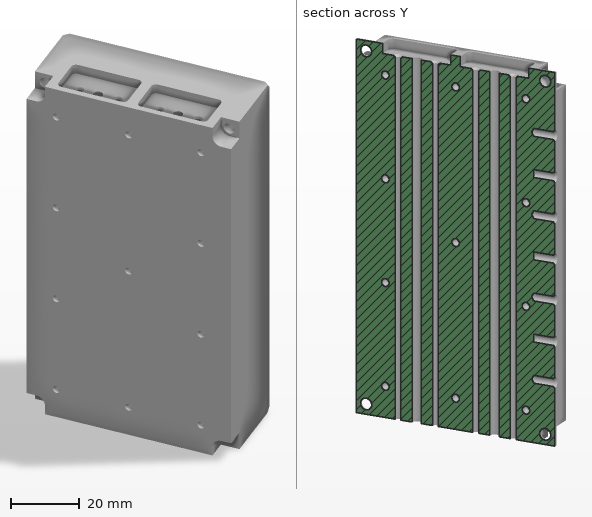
import cadquery as cq
import math

WIDTH = 64.8
THICKNESS = 28.0
HEIGHT = 115.1
CORNER_CUT = 1.5

RECESS_SIDE = 5.9
RECESS_DEPTH = 6.1
RECESS_RADIUS = 2.9
CORNER_HOLE_DIAMETER = 3.5
CORNER_HOLE_INSET = 3.2

FACE_HOLE_DIAMETER = 2.3
FACE_HOLE_X = 22.9
FACE_HOLE_OUTER_Z = 47.9
FACE_HOLE_INNER_Z = FACE_HOLE_OUTER_Z / 3

PORT_INSET = 6.8
SIDE_HOLE_INSET = 7.0
PORT_PITCH = 12.7

POCKET_WIDTH = 22.1
POCKET_THICKNESS = 12.3
POCKET_INSET = 1.8
POCKET_DEPTH = 3.1
POCKET_RADIUS = 1.5
PIN_HOLE_DIAMETER = 2.9
SCREW_HOLE_DIAMETER = 1.7
SCREW_HOLE_MOUTH = 3.0
SCREW_HOLE_OFFSET = 6.1

SIDE_HOLE_COUNT = 7
SIDE_HOLE_DIAMETER = 2.3
SIDE_HOLE_MOUTH = 3.5
SIDE_HOLE_DEPTH = 6.9
DRILL_TIP_ANGLE = 118

FRONT = -THICKNESS / 2
PORT_Y = FRONT + PORT_INSET
SIDE_HOLE_Y = FRONT + SIDE_HOLE_INSET


def drill(mouth, direction, diameter, depth):
    """Flat-ended cutter that starts at the mouth."""
    cylinder = cq.Solid.makeCylinder(diameter / 2, depth, cq.Vector(*mouth), cq.Vector(*direction))
    return cq.Workplane(cylinder)


def countersink(mouth, direction, mouth_diameter, hole_diameter):
    """45 degree cone that narrows from the mouth to the hole."""
    depth = (mouth_diameter - hole_diameter) / 2
    cone = cq.Solid.makeCone(
        mouth_diameter / 2, hole_diameter / 2, depth, cq.Vector(*mouth), cq.Vector(*direction)
    )
    return cq.Workplane(cone)


def drill_tip(base, direction, diameter):
    """Conical end of a drilled hole."""
    length = diameter / 2 / math.tan(math.radians(DRILL_TIP_ANGLE / 2))
    cone = cq.Solid.makeCone(diameter / 2, 0, length, cq.Vector(*base), cq.Vector(*direction))
    return cq.Workplane(cone)


def corner_wedge(x_side, z_side):
    """Tetrahedron at one corner of the +Y face, with equal legs along the three edges."""
    corner = cq.Vector(x_side * WIDTH / 2, THICKNESS / 2, z_side * HEIGHT / 2)
    along_x = corner - cq.Vector(x_side * CORNER_CUT, 0, 0)
    along_y = corner - cq.Vector(0, CORNER_CUT, 0)
    along_z = corner - cq.Vector(0, 0, z_side * CORNER_CUT)
    triangles = [
        (along_x, along_y, along_z),
        (corner, along_x, along_y),
        (corner, along_y, along_z),
        (corner, along_z, along_x),
    ]
    faces = [cq.Face.makeFromWires(cq.Wire.makePolygon(points, close=True)) for points in triangles]
    return cq.Workplane(cq.Solid.makeSolid(cq.Shell.makeShell(faces)))


def bevelled_block():
    body = cq.Workplane("XY").box(WIDTH, THICKNESS, HEIGHT)
    for x_side in (-1, 1):
        for z_side in (-1, 1):
            body = body.cut(corner_wedge(x_side, z_side))
    return body


def cut_corner_recesses(body):
    for x_side in (-1, 1):
        for z_side in (-1, 1):
            recess = (
                cq.Workplane("XY")
                .box(2 * RECESS_SIDE, 2 * RECESS_DEPTH, 2 * RECESS_SIDE)
                .edges("|Y")
                .fillet(RECESS_RADIUS)
                .translate((x_side * WIDTH / 2, FRONT, z_side * HEIGHT / 2))
            )
            x = x_side * (WIDTH / 2 - CORNER_HOLE_INSET)
            z = z_side * (HEIGHT / 2 - CORNER_HOLE_INSET)
            body = body.cut(recess).cut(drill((x, FRONT, z), (0, 1, 0), CORNER_HOLE_DIAMETER, THICKNESS))
    return body


def cut_face_holes(body):
    positions = [(0, 0), (0, FACE_HOLE_OUTER_Z), (0, -FACE_HOLE_OUTER_Z)]
    for x in (-FACE_HOLE_X, FACE_HOLE_X):
        for z in (FACE_HOLE_INNER_Z, FACE_HOLE_OUTER_Z):
            positions += [(x, z), (x, -z)]
    for x, z in positions:
        body = body.cut(drill((x, FRONT, z), (0, 1, 0), FACE_HOLE_DIAMETER, THICKNESS))
    return body


def cut_connector_pockets(body):
    floor = HEIGHT / 2 - POCKET_DEPTH
    down = (0, 0, -1)
    for x in (-PORT_PITCH, PORT_PITCH):
        pocket = (
            cq.Workplane("XY")
            .box(POCKET_WIDTH, POCKET_THICKNESS, POCKET_DEPTH, centered=(True, False, False))
            .edges("|Z")
            .fillet(POCKET_RADIUS)
            .translate((x, FRONT + POCKET_INSET, floor))
        )
        body = body.cut(pocket).cut(drill((x, PORT_Y, floor), down, PIN_HOLE_DIAMETER, HEIGHT))
        for screw_x in (x - SCREW_HOLE_OFFSET, x + SCREW_HOLE_OFFSET):
            mouth = (screw_x, PORT_Y, floor)
            body = body.cut(drill(mouth, down, SCREW_HOLE_DIAMETER, HEIGHT))
            body = body.cut(countersink(mouth, down, SCREW_HOLE_MOUTH, SCREW_HOLE_DIAMETER))
    return body


def cut_side_holes(body):
    inward = (1, 0, 0)
    for index in range(SIDE_HOLE_COUNT):
        z = (index - (SIDE_HOLE_COUNT - 1) / 2) * PORT_PITCH
        mouth = (-WIDTH / 2, SIDE_HOLE_Y, z)
        body = body.cut(drill(mouth, inward, SIDE_HOLE_DIAMETER, SIDE_HOLE_DEPTH))
        body = body.cut(countersink(mouth, inward, SIDE_HOLE_MOUTH, SIDE_HOLE_DIAMETER))
        if index % 2 == 0:
            bottom = (-WIDTH / 2 + SIDE_HOLE_DEPTH, SIDE_HOLE_Y, z)
            body = body.cut(drill_tip(bottom, inward, SIDE_HOLE_DIAMETER))
    return body


result = bevelled_block()
result = cut_corner_recesses(result)
result = cut_face_holes(result)
result = cut_connector_pockets(result)
result = cut_side_holes(result)